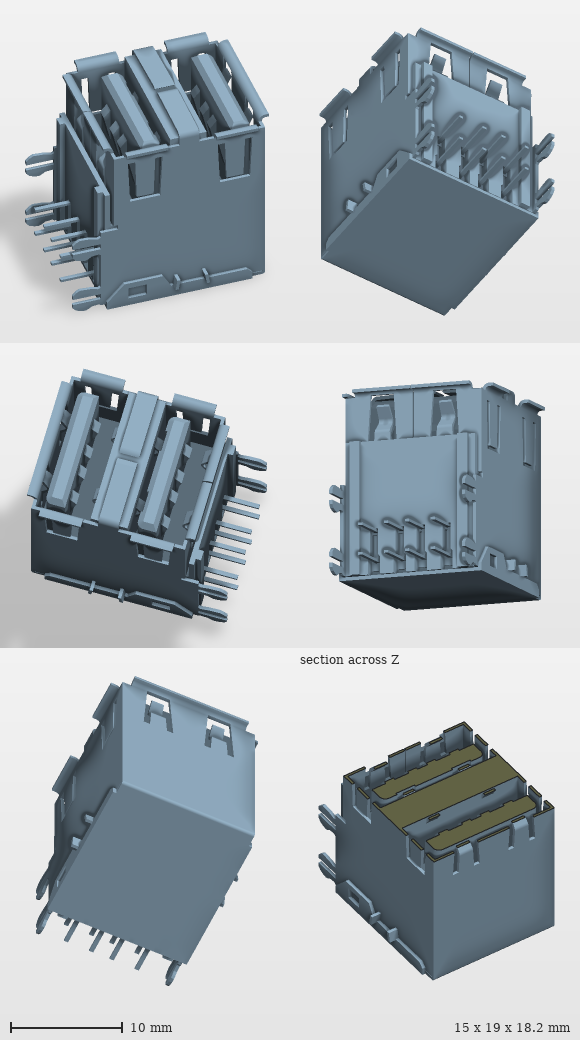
import cadquery as cq
import math


sheet = 0.3
half_width = 6.55
inner_half = half_width - sheet
shell_depth = 14.3
shell_top = 16.74
floor_z = 8.73
side_front = 15.53
side_shoulder = 8.65
side_bottom = 0.4
notch_top = 9.15
notch_back = 13.91
wall_slit = 0.13

lip_height = 0.66
lip_radius = lip_height - sheet
end_lip_reach, side_lip_reach = 0.66, 0.72
wide_lip = 11.24
side_lip = 3.91

port_pitch = 8.48
first_tongue_back = 0.97
tongue_depth = 1.88
tongue_half = 5.52
tongue_corner = 0.63
tongue_bevel = 0.51
front_bevel = 0.4
tongue_top = 16.8
relief_width, relief_depth = 1.97, 0.19
contact_xs = (-3.5, -1.0, 1.0, 3.5)
contact_width = 0.99
contact_low, contact_bend, contact_high = 11.0, 13.65, 14.39
contact_reach = 0.63
divider_back = 5.43
divider_front = 8.86
divider_top = 17.4

window_bottom = 11.54
wall_window_top = 16.85
spring_x = 3.0
wall_window_low, wall_window_high = 2.92, 2.22
wall_spring_widths = (1.7, 1.14)
divider_spring_widths = (1.52, 0.99)
spring_bend_low, spring_bend = 13.59, 14.54
wall_spring_tip, divider_spring_tip = 15.98, 15.56
spring_bend_radius = 0.38
spring_tip_return = 0.3
spring_sheet = 0.23
spring_root = 0.19
spring_foot_radius = 0.47
rear_spring_reach, front_spring_reach, divider_spring_reach = 0.97, 1.21, 0.74
side_window_y = 2.85
side_window_low, side_window_high = 2.85, 3.26
side_window_top = 15.9
leaf_low, leaf_high = 1.6, 1.9
leaf_bottom = 11.92

strap_back, strap_front = 6.23, 8.09
strap_low_z = 18.03
strap_top = 18.2
strap_sheet = 0.32
strap_radius = 0.57
strap_gap_half = 0.27
strap_curl = 0.5

cover_half = 6.87
cover_sheet = 0.32
cover_back, cover_front = 1.31, 15.03
bend_radius = 0.27
seam_height = 0.08
cover_side = [(cover_back, 0), (cover_back, 0.72), (1.8, 1.2), (9.02, 1.2), (9.77, 2.47), (13.4, 2.47),
              (cover_front, 0.75), (cover_front, 0)]
cover_window_y, cover_window_width = 12.15, 1.7
cover_window_low, cover_window_high = 0.78, 1.92
tab_out = 7.5
tab_low, tab_high = 1.1, 2.1
tab_width, tab_lean = 0.3, 0.17
tab_ys = ((5.52, 1), (8.79, -1))

wall_back, wall_front = 14.55, 15.03
wall_top = 12.55
foot_top = 8.95
foot_radius = 0.3
rib_inner, rib_outer = 4.73, 5.65
pin_width, pin_height = 0.4, 0.25
pin_tip = 18.32
pin_bend_radius = 0.32
pin_levels = (1.58, 4.27)
slot_width, slot_top = 0.8, 4.55
slot_step = 4.06
slot_foot_width, slot_foot_low, slot_foot_high = 1.18, 2.0, 2.2
sill_top = 0.87
slot_depth, slot_top_depth, sill_depth = 0.95, 0.57, 1.14

lock_levels = (1.39, 7.1)
lock_slot_half = 0.28
lock_upper = [(0, 1.02), (0.27, 0.91), (0.95, 1.1), (1.97, 1.18), (2.32, 0.99), (2.64, 0.66),
              (2.64, lock_slot_half)]
lock_lower = [(2.64, -lock_slot_half), (2.64, -0.68), (2.35, -0.99), (1.88, -1.18), (1.45, -1.23), (1.18, -1.12),
              (0.85, -0.91), (0.19, -0.84), (0, -0.97)]


def box(x0, x1, back, front, z0, z1):
    """Block between two X, two distances in front of the rear face, and two Z."""
    return cq.Workplane("XY").box(x1 - x0, front - back, z1 - z0, centered=False).translate((x0, -front, z0))


def across_x(points, x0, x1):
    """Outline of (distance in front of the rear face, Z) points, swept along X."""
    outline = [(-distance, z) for distance, z in points]
    return cq.Workplane("YZ").polyline(outline).close().extrude(x1 - x0).translate((x0, 0, 0))


def across_y(points, back, front):
    """Outline of (X, Z) points, swept along Y."""
    return cq.Workplane("XZ").polyline(points).close().extrude(front - back).translate((0, -back, 0))


def both_sides(solid):
    return solid.union(solid.mirror("YZ"))


def trapezoid(centre, low_width, high_width, low, high):
    return [(centre - low_width / 2, low), (centre + low_width / 2, low),
            (centre + high_width / 2, high), (centre - high_width / 2, high)]


def lip(length, reach):
    """Lip along X, centred, whose wall's outer face is Y = 0 and which flares to +Y."""
    bend = sheet + lip_radius
    diagonal = math.sqrt(0.5)
    profile = (
        cq.Workplane("YZ")
        .moveTo(-sheet, 0)
        .threePointArc((lip_radius - bend * diagonal, bend * diagonal), (lip_radius, bend))
        .lineTo(reach, bend)
        .lineTo(reach, lip_radius)
        .lineTo(lip_radius, lip_radius)
        .threePointArc((lip_radius - lip_radius * diagonal, lip_radius * diagonal), (0, 0))
        .close()
    )
    return profile.extrude(length / 2, both=True).translate((0, 0, shell_top))


def spring(reach, widths, tip):
    """Bent spring centred on X = 0, rooted in a wall with outer face Y = 0, bulging to -Y."""
    outline = [(0, window_bottom - spring_root), (0, spring_bend_low), (reach - spring_sheet, spring_bend),
               (spring_tip_return - spring_sheet, tip - spring_sheet), (spring_tip_return, tip),
               (reach, spring_bend), (sheet, spring_bend_low - spring_sheet),
               (sheet, window_bottom - spring_root)]
    low_width, high_width = widths
    strip = across_x(outline, -low_width / 2, low_width / 2)
    hollow_edge = cq.selectors.NearestToPointSelector((0, spring_sheet - reach, spring_bend))
    strip = strip.edges("|X").edges(hollow_edge).fillet(spring_bend_radius)
    foot_edge = cq.selectors.NearestToPointSelector((0, 0, spring_bend_low))
    strip = strip.edges("|X").edges(foot_edge).fillet(spring_foot_radius)
    strip = strip.edges("|X and <Y").fillet(spring_bend_radius + spring_sheet)
    taper = across_y(trapezoid(0, low_width, high_width, window_bottom - spring_root, tip), 0, reach)
    return strip.intersect(taper)


def make_shell():
    shell = box(-half_width, half_width, 0, shell_depth, side_bottom, shell_top)
    shell = shell.cut(box(-inner_half, inner_half, sheet, shell_depth - sheet, floor_z, shell_top))

    notch = box(inner_half, half_width, notch_back, shell_depth, side_shoulder, notch_top)
    shell = shell.cut(both_sides(notch))
    forward = box(inner_half, half_width, notch_back, side_front, side_bottom, side_shoulder)
    shell = shell.union(both_sides(forward))

    shell = shell.union(lip(wide_lip, end_lip_reach))
    front_lip = lip(wide_lip, end_lip_reach).rotate((0, 0, 0), (0, 0, 1), 180).translate((0, -shell_depth, 0))
    shell = shell.union(front_lip)
    for port in (0, port_pitch):
        flare = lip(side_lip, side_lip_reach).rotate((0, 0, 0), (0, 0, 1), 90)
        flare = flare.translate((-half_width, -side_window_y - port, 0))
        shell = shell.union(both_sides(flare))

    slit = box(-wall_slit / 2, wall_slit / 2, shell_depth - sheet, shell_depth + end_lip_reach,
               floor_z + sheet, divider_top)
    return shell.cut(slit)


def cut_windows(shell):
    """Openings behind the springs in the front and rear walls, and U cuts in the sides."""
    opening = trapezoid(spring_x, wall_window_low, wall_window_high, window_bottom, wall_window_top)
    for back in (-lip_radius, shell_depth - sheet):
        shell = shell.cut(both_sides(across_y(opening, back, back + sheet + lip_radius)))
    for port in (0, port_pitch):
        centre = side_window_y + port
        opening = trapezoid(centre, side_window_low, side_window_high, window_bottom, side_window_top)
        leaf = trapezoid(centre, leaf_low, leaf_high, leaf_bottom, side_window_top)
        u_cut = across_x(opening, inner_half, half_width).cut(across_x(leaf, inner_half, half_width))
        shell = shell.cut(both_sides(u_cut))
    return shell


def make_springs():
    def facing_back(solid, y):
        return solid.mirror("XZ").translate((0, y, 0))

    divider_spring = spring(divider_spring_reach + sheet, divider_spring_widths, divider_spring_tip)
    springs = [
        spring(rear_spring_reach, wall_spring_widths, wall_spring_tip),
        facing_back(spring(front_spring_reach, wall_spring_widths, wall_spring_tip), -shell_depth),
        facing_back(divider_spring, -divider_back - sheet),
        divider_spring.translate((0, sheet - divider_front, 0)),
    ]
    pairs = [both_sides(s.translate((spring_x, 0, 0))) for s in springs]
    joined = pairs[0]
    for pair in pairs[1:]:
        joined = joined.union(pair)
    return joined


def make_tongue(port):
    back = first_tongue_back + port
    front = back + tongue_depth
    tongue = box(-tongue_half, tongue_half, back, front, floor_z - sheet, tongue_top)
    tongue = tongue.edges("|Z and >Y").fillet(tongue_corner)
    tongue = tongue.faces(">Z").edges("not(<Y)").chamfer(tongue_bevel)
    shoulder = tongue_top - tongue_bevel
    front_cut = [(front, shoulder), (front, tongue_top), (front - front_bevel, tongue_top)]
    tongue = tongue.cut(across_x(front_cut, -tongue_half, tongue_half))
    contact = [(front - sheet, contact_low), (front, contact_low), (front + contact_reach, contact_bend),
               (front, contact_high), (front - sheet, contact_high)]
    for x in contact_xs:
        tongue = tongue.union(across_x(contact, x - contact_width / 2, x + contact_width / 2))
    return tongue


def make_ports():
    divider = box(-inner_half, inner_half, divider_back, divider_front, floor_z - sheet, divider_top)
    front_tongue_back = first_tongue_back + port_pitch
    relief = box(spring_x - relief_width / 2, spring_x + relief_width / 2,
                 front_tongue_back, front_tongue_back + relief_depth, floor_z, tongue_top)
    front_tongue = make_tongue(port_pitch).cut(both_sides(relief))
    return divider.union(make_tongue(0)).union(front_tongue)


def make_straps():
    """Two straps that rise from the side walls and fold over the divider."""
    diagonal = math.sqrt(0.5)
    inner_radius = strap_radius - strap_sheet
    strap_curl_drop = strap_sheet / 2
    strap_curl_radius = (strap_curl ** 2 + strap_curl_drop ** 2) / (2 * strap_curl_drop)
    bend_x = strap_radius - half_width
    bend_z = strap_low_z - strap_radius
    strap = (
        cq.Workplane("XZ")
        .moveTo(-half_width, shell_top - sheet)
        .lineTo(-half_width, bend_z)
        .threePointArc((bend_x - strap_radius * diagonal, bend_z + strap_radius * diagonal),
                       (bend_x, strap_low_z))
        .lineTo(-strap_gap_half - strap_curl, strap_top)
        .radiusArc((-strap_gap_half, strap_top - strap_curl_drop), strap_curl_radius)
        .lineTo(-strap_gap_half - strap_curl_drop, strap_top - strap_sheet)
        .lineTo(bend_x, strap_low_z - strap_sheet)
        .threePointArc((bend_x - inner_radius * diagonal, bend_z + inner_radius * diagonal),
                       (bend_x - inner_radius, bend_z))
        .lineTo(bend_x - inner_radius, shell_top - sheet)
        .close()
        .extrude(strap_front - strap_back)
        .translate((0, -strap_back, 0))
    )
    return both_sides(strap)


def make_cover():
    bottom = box(-half_width, half_width, 0, cover_back, 0, side_bottom)
    bottom = bottom.edges("|X and >Y and <Z").fillet(bend_radius)
    seam = box(inner_half, half_width, bend_radius, cover_back, cover_sheet, cover_sheet + seam_height)
    cover = bottom.cut(both_sides(seam))
    cover = cover.union(box(-cover_half, cover_half, cover_back, cover_front, 0, cover_sheet))
    filler = box(-half_width, half_width, cover_back, notch_back, cover_sheet, side_bottom)
    cover = cover.union(filler)
    side = across_x(cover_side, half_width, cover_half)
    window = box(half_width, cover_half, cover_window_y - cover_window_width / 2,
                 cover_window_y + cover_window_width / 2, cover_window_low, cover_window_high)
    cover = cover.union(both_sides(side.cut(window)))
    for y, lean in tab_ys:
        tab = [(y, tab_low), (y + lean * tab_lean, tab_high),
               (y + lean * (tab_lean + tab_width), tab_high), (y + lean * tab_width, tab_low)]
        cover = cover.union(both_sides(across_x(tab, inner_half, tab_out)))
    return cover


def make_housing():
    """Front wall of the plastic housing, with its foot, ribs and pin slots."""
    housing = box(-inner_half, inner_half, wall_back, wall_front, side_bottom, wall_top)
    housing = housing.union(box(-inner_half, inner_half, notch_back, wall_front, side_bottom, foot_top))
    corner = cq.selectors.NearestToPointSelector((0, -wall_back, foot_top))
    housing = housing.edges("|X").edges(corner).fillet(foot_radius)
    rib = box(rib_inner, rib_outer, wall_front, side_front, side_bottom, wall_top)
    housing = housing.union(both_sides(rib))
    return housing


def cut_slots(body):
    """Pin slots: shallow at the top, widened at the foot and deepest behind the cover's edge."""
    half = slot_width / 2
    foot_half = slot_foot_width / 2
    right_edge = [(foot_half, sill_top), (foot_half, slot_foot_low),
                  (half, slot_foot_high), (half, slot_step)]
    left_edge = [(-x, z) for x, z in reversed(right_edge)]
    middle = across_y(right_edge + left_edge, wall_front - slot_depth, wall_front)
    top = box(-half, half, wall_front - slot_top_depth, wall_front, slot_step, slot_top)
    sill = box(-foot_half, foot_half, wall_front - sill_depth, wall_front, side_bottom, sill_top)
    slot = middle.union(top).union(sill)
    for x in contact_xs:
        body = body.cut(slot.translate((x, 0, 0)))
    return body


def make_pins():
    """Straight upper pins, and lower pins that bend out of a strip on the slot's rear face."""
    root = wall_front - slot_depth - sheet
    strip_front = root + 2 * sheet
    low, high = pin_levels
    low_top = low + pin_height
    arc_middle = pin_bend_radius * (1 - math.sqrt(0.5))
    bent = (
        cq.Workplane("YZ")
        .moveTo(-root, low)
        .lineTo(-pin_tip, low)
        .lineTo(-pin_tip, low_top)
        .lineTo(-strip_front - pin_bend_radius, low_top)
        .threePointArc((-strip_front - arc_middle, low_top + arc_middle),
                       (-strip_front, low_top + pin_bend_radius))
        .lineTo(-strip_front, high)
        .lineTo(-root, high)
        .close()
        .extrude(pin_width / 2, both=True)
    )
    straight = box(-pin_width / 2, pin_width / 2, root, pin_tip, high, high + pin_height)
    pin_pair = bent.union(straight)
    pins = cq.Workplane("XY")
    for x in contact_xs:
        pins = pins.union(pin_pair.translate((x, 0, 0)))
    return pins


def make_board_locks():
    locks = cq.Workplane("XY")
    upper = [(0, lock_slot_half)] + lock_upper
    lower = lock_lower + [(0, -lock_slot_half)]
    for level in lock_levels:
        for outline in (upper, lower):
            prong = across_x([(side_front + d, level + z) for d, z in outline], inner_half, half_width)
            locks = locks.union(both_sides(prong))
    return locks


shell = cut_windows(make_shell())
body = shell.union(make_housing()).union(make_ports()).union(make_cover())
body = cut_slots(body)
result = body.union(make_springs()).union(make_straps()).union(make_pins()).union(make_board_locks())